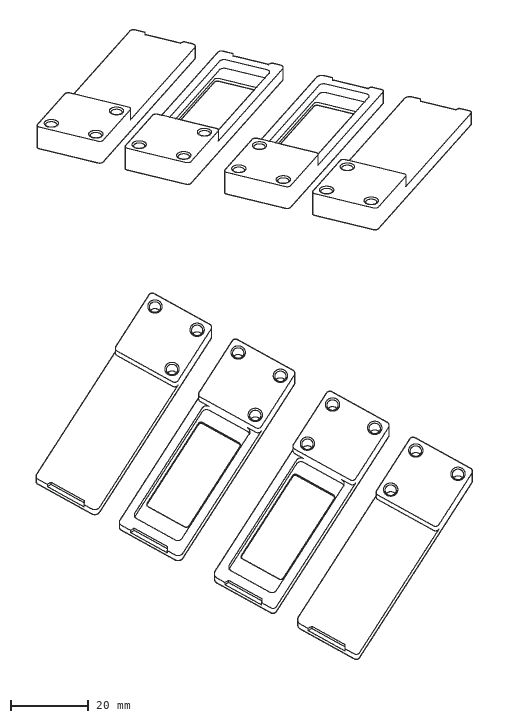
import cadquery as cq

width = 18.67
blade_length = 40.0
height = 6.6
plate_height = 3.5
block_length = width
length = block_length + blade_length
foot_corner_radius = 1.0
tip_outer_radius = 1.0
tip_inner_radius = 1.5

pair_pitch = 25.0
span = 97.0
outer_center = (span - width) / 2
inner_center = outer_center - pair_pitch

hole_diameter = 2.9
mouth_diameter = 3.7
mouth_depth = (mouth_diameter - hole_diameter) / 2
mouth_angle = 45
hole_depth = 5.0
hole_inset = 3.0

notch_tip_width = 11.0
notch_inner_width = 10.0
notch_reach = 1.0
notch_depth = 1.5

side_wall = 2.3
tip_wall = 3.6
pocket_width = width - 2 * side_wall
pocket_length = blade_length - tip_wall
pocket_center_y = block_length + pocket_length / 2
pocket_radius = 1.3
floor_thickness = 0.9
window_width = 12.5
window_length = 27.3
window_tip_gap = 5.3
window_center_y = length - tip_wall - window_tip_gap - window_length / 2
window_radius = 0.8


def make_plate(inner_side):
    """Flat plate along +Y with rounded corners and a wider round on the inner side of the tip."""
    inner_tip, outer_tip = (">X", "<X") if inner_side > 0 else ("<X", ">X")
    plate = cq.Workplane("XY").box(width, length, plate_height, centered=(True, False, False))
    plate = plate.edges("|Z and <Y").fillet(foot_corner_radius)
    plate = plate.edges("|Z").edges(">Y").edges(outer_tip).fillet(tip_outer_radius)
    return plate.edges("|Z").edges(">Y").edges(inner_tip).fillet(tip_inner_radius)


def make_block():
    """Full-height block at the foot, rounded on all four upright edges."""
    block = cq.Workplane("XY").box(width, block_length, height, centered=(True, False, False))
    return block.edges("|Z").fillet(foot_corner_radius)


def make_notch():
    """Trapezoid cutter for the notch, narrowing away from the tip."""
    return (
        cq.Workplane("XY", origin=(0, 0, plate_height - notch_depth))
        .moveTo(-notch_tip_width / 2, length)
        .lineTo(notch_tip_width / 2, length)
        .lineTo(notch_inner_width / 2, length - notch_reach)
        .lineTo(-notch_inner_width / 2, length - notch_reach)
        .close()
        .extrude(notch_depth)
    )


def make_holes(inner_side):
    """Three hole cutters: two at the foot, one behind them on the inner side (+1 or -1 in X)."""
    side_x = width / 2 - hole_inset
    near_y = hole_inset
    far_y = block_length - hole_inset
    points = [(-side_x, near_y), (side_x, near_y), (inner_side * side_x, far_y)]
    top = cq.Workplane("XY", origin=(0, 0, height)).pushPoints(points)
    shafts = top.circle(hole_diameter / 2).extrude(-hole_depth)
    mouths = top.circle(mouth_diameter / 2).extrude(-mouth_depth, taper=mouth_angle)
    return shafts.union(mouths)


def make_cover(inner_side):
    """Solid body: plate, foot block, tip notch and screw holes."""
    return make_plate(inner_side).union(make_block()).cut(make_notch()).cut(make_holes(inner_side))


def make_frame(inner_side):
    """Cover shape with a pocket and a window through the pocket floor."""
    pocket = (
        cq.Workplane("XY", origin=(0, pocket_center_y, floor_thickness))
        .rect(pocket_width, pocket_length)
        .extrude(plate_height - floor_thickness)
        .edges("|Z")
        .fillet(pocket_radius)
    )
    window = (
        cq.Workplane("XY", origin=(0, window_center_y, 0))
        .rect(window_width, window_length)
        .extrude(plate_height)
        .edges("|Z")
        .fillet(window_radius)
    )
    return make_cover(inner_side).cut(pocket).cut(window)


bodies = []
for side in (-1, 1):
    cover = make_cover(-side).translate((side * outer_center, 0, 0))
    frame = make_frame(-side).translate((side * inner_center, 0, 0))
    bodies += [cover.val(), frame.val()]

result = cq.Compound.makeCompound(bodies)